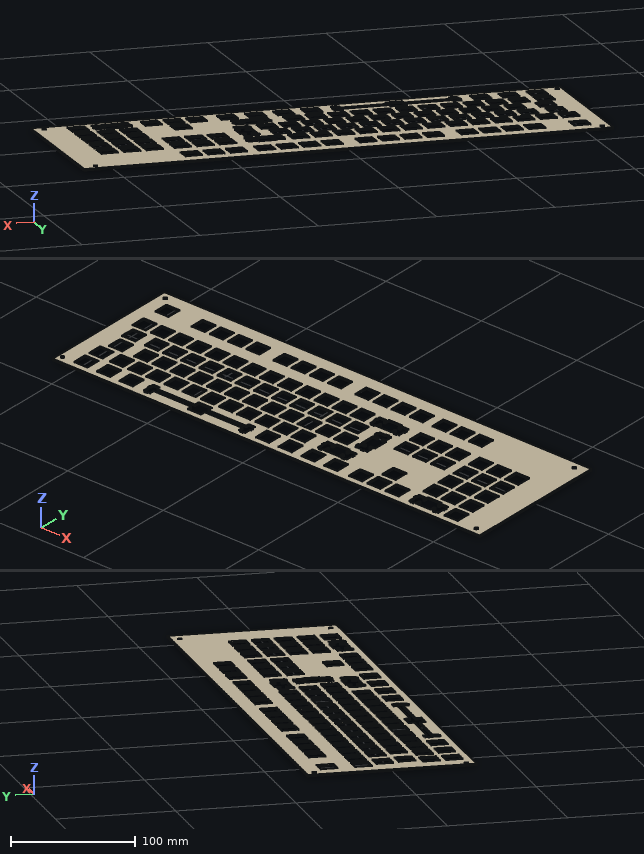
import cadquery as cq

PLATE_LENGTH = 447.68
PLATE_WIDTH = 140.49
PLATE_THICKNESS = 1.51

UNIT = 19.05
SWITCH_SIZE = 14.0
LEFT_MARGIN = 11.79
BOTTOM_MARGIN = 4.44
FUNCTION_ROW_GAP = 0.5

NAVIGATION_START = 15.25
NUMPAD_START = 18.5

BOTTOM_ROW = 0
SHIFT_ROW = 1
HOME_ROW = 2
TAB_ROW = 3
NUMBER_ROW = 4
FUNCTION_ROW = NUMBER_ROW + 1 + FUNCTION_ROW_GAP

MAIN_RUNS = [
    (FUNCTION_ROW, 0, 1),
    (FUNCTION_ROW, 2, 4),
    (FUNCTION_ROW, 6.5, 4),
    (FUNCTION_ROW, 11, 4),
    (NUMBER_ROW, 0, 13),
    (TAB_ROW, 0.25, 1),
    (TAB_ROW, 1.5, 12),
    (HOME_ROW, 0.375, 1),
    (HOME_ROW, 1.75, 12),
    (SHIFT_ROW, 0.125, 1),
    (SHIFT_ROW, 1.25, 11),
    (BOTTOM_ROW, 0.125, 1),
    (BOTTOM_ROW, 1.375, 1),
    (BOTTOM_ROW, 2.625, 1),
    (BOTTOM_ROW, 10.125, 1),
    (BOTTOM_ROW, 11.375, 1),
    (BOTTOM_ROW, 12.625, 1),
    (BOTTOM_ROW, 13.875, 1),
]
NAVIGATION_RUNS = [
    (FUNCTION_ROW, NAVIGATION_START, 3),
    (NUMBER_ROW, NAVIGATION_START, 3),
    (TAB_ROW, NAVIGATION_START, 3),
    (SHIFT_ROW, NAVIGATION_START + 1, 1),
    (BOTTOM_ROW, NAVIGATION_START, 3),
]
NUMPAD_RUNS = [
    (NUMBER_ROW, NUMPAD_START, 3),
    (TAB_ROW, NUMPAD_START, 3),
    (HOME_ROW, NUMPAD_START, 3),
    (SHIFT_ROW, NUMPAD_START, 3),
    (BOTTOM_ROW, NUMPAD_START + 2, 1),
]

SMALL_STABILIZER_OFFSET = 11.9
SPACE_STABILIZER_OFFSET = 50.0
STABILIZER_WIDTH = 6.75
STABILIZER_TOP = 5.53
STABILIZER_BOTTOM = -6.77
CLIP_WIDTH = 3.05
CLIP_BOTTOM = -7.97
NOTCH_DEPTH = 0.875
NOTCH_TOP = 2.3
NOTCH_BOTTOM = -0.5
WIRE_SLOT_TOP = 2.3
WIRE_SLOT_BOTTOM = -2.3

WIDE_KEYS = [
    (NUMBER_ROW, 13.5, SMALL_STABILIZER_OFFSET, 0),
    (HOME_ROW + 0.5, 13.875, SMALL_STABILIZER_OFFSET, -90),
    (SHIFT_ROW, 13.125, SMALL_STABILIZER_OFFSET, 0),
    (BOTTOM_ROW, 6.375, SPACE_STABILIZER_OFFSET, 0),
    (BOTTOM_ROW, NUMPAD_START + 0.5, SMALL_STABILIZER_OFFSET, 0),
]

HOLE_DIAMETER = 3.2
HOLE_EDGE_INSET = 7.2
TOP_LEFT_INSET = 7.0
BOTTOM_LEFT_INSET = 4.4
TOP_RIGHT_INSET = 11.9
BOTTOM_RIGHT_INSET = 9.4


def key_center(row, position):
    """Centre of the key cell at the given row and position."""
    x = -PLATE_LENGTH / 2 + LEFT_MARGIN + (position + 0.5) * UNIT
    y = -PLATE_WIDTH / 2 + BOTTOM_MARGIN + (row + 0.5) * UNIT
    return x, y


def block(x_min, x_max, y_min, y_max):
    """Cutting block through the plate with the given limits."""
    return cq.Workplane("XY").box(
        x_max - x_min, y_max - y_min, PLATE_THICKNESS, centered=False
    ).translate((x_min, y_min, 0))


def make_plate():
    return cq.Workplane("XY").box(
        PLATE_LENGTH, PLATE_WIDTH, PLATE_THICKNESS, centered=(True, True, False)
    )


def switch_cutter():
    half = SWITCH_SIZE / 2
    return block(-half, half, -half, half)


def stabilizer_cutter(offset):
    """Switch opening joined by a wire slot to a stabilizer opening on either side."""
    inner = offset - STABILIZER_WIDTH / 2
    outer = offset + STABILIZER_WIDTH / 2
    clip_half = CLIP_WIDTH / 2
    side = block(inner, outer, STABILIZER_BOTTOM, STABILIZER_TOP)
    side = side.union(block(offset - clip_half, offset + clip_half, CLIP_BOTTOM, STABILIZER_TOP))
    side = side.union(block(inner, outer + NOTCH_DEPTH, NOTCH_BOTTOM, NOTCH_TOP))
    slot = block(-offset, offset, WIRE_SLOT_BOTTOM, WIRE_SLOT_TOP)
    return switch_cutter().union(slot).union(side).union(side.mirror("YZ"))


def cut_switches(plate):
    centers = []
    for row, first, count in MAIN_RUNS + NAVIGATION_RUNS + NUMPAD_RUNS:
        for step in range(count):
            centers.append(key_center(row, first + step))
    squares = cq.Workplane("XY").pushPoints(centers).rect(SWITCH_SIZE, SWITCH_SIZE)
    return plate.cut(squares.extrude(PLATE_THICKNESS))


def cut_wide_keys(plate):
    for row, position, offset, rotation in WIDE_KEYS:
        x, y = key_center(row, position)
        cutter = stabilizer_cutter(offset).rotate((0, 0, 0), (0, 0, 1), rotation)
        plate = plate.cut(cutter.translate((x, y, 0)))
    return plate


def cut_mounting_holes(plate):
    right = PLATE_LENGTH / 2
    top = PLATE_WIDTH / 2 - HOLE_EDGE_INSET
    centers = [
        (-right + TOP_LEFT_INSET, top),
        (-right + BOTTOM_LEFT_INSET, -top),
        (right - TOP_RIGHT_INSET, top),
        (right - BOTTOM_RIGHT_INSET, -top),
    ]
    holes = cq.Workplane("XY").pushPoints(centers).circle(HOLE_DIAMETER / 2)
    return plate.cut(holes.extrude(PLATE_THICKNESS))


result = make_plate()
result = cut_switches(result)
result = cut_wide_keys(result)
result = cut_mounting_holes(result)